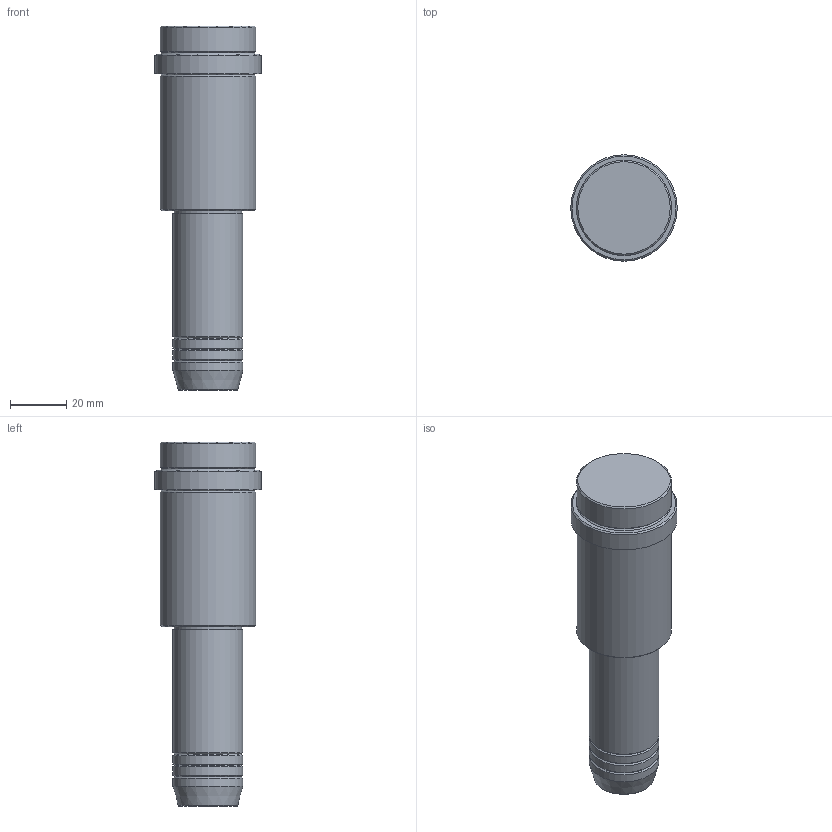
import cadquery as cq
import math

body_diameter = 34.0
collar_diameter = 38.0
pin_diameter = 25.0

total_height = 130.0
collar_top = 120.0
collar_height = 7.0
shoulder_height = 64.0
tip_height = 7.0

tip_angle = 15.0

edge_chamfer = 0.5
tip_chamfer = 0.3
neck_height = 1.0
neck_depth = 0.5
groove_width = 1.0

ring_groove_count = 3
ring_groove_pitch = 4.0
lowest_ring_groove = 10.0

body_radius = body_diameter / 2
collar_radius = collar_diameter / 2
pin_radius = pin_diameter / 2
collar_bottom = collar_top - collar_height
tip_taper = math.tan(math.radians(tip_angle))
groove_depth = groove_width / 2
neck_radius = pin_radius - neck_depth
neck_bottom = shoulder_height - neck_height


def revolve_profile(points):
    """Revolve a closed outline of (radius, height) points about the Z axis."""
    return cq.Workplane("XZ").polyline(points).close().revolve(360, (0, 0, 0), (0, 1, 0))


def cylinder(radius, bottom, top):
    """Round section about the Z axis between two heights."""
    return cq.Workplane("XY").workplane(offset=bottom).circle(radius).extrude(top - bottom)


def make_groove(radius, bottom):
    """V-shaped ring that bites into a cylinder of the given radius, starting at the given height."""
    return revolve_profile([
        (radius, bottom),
        (radius - groove_depth, bottom + groove_width / 2),
        (radius, bottom + groove_width),
    ])


def make_head():
    """Short cylinder above the collar with a chamfered top and a V groove at the collar."""
    head = cylinder(body_radius, collar_top, total_height).faces(">Z").edges().chamfer(edge_chamfer)
    return head.cut(make_groove(body_radius, collar_top))


def make_collar():
    """Locating collar with its upper edge broken."""
    return cylinder(collar_radius, collar_bottom, collar_top).faces(">Z").edges().chamfer(edge_chamfer)


def make_body():
    """Main cylinder with a chamfered shoulder and a V groove under the collar."""
    body = cylinder(body_radius, shoulder_height, collar_bottom).faces("<Z").edges().chamfer(edge_chamfer)
    return body.cut(make_groove(body_radius, collar_bottom - groove_width))


def make_pin():
    """Slim pin with a tapered tip, V grooves and a stepped-in neck under the shoulder."""
    taper_end_radius = pin_radius - (tip_height - tip_chamfer) * tip_taper
    pin = revolve_profile([
        (0, 0),
        (taper_end_radius - tip_chamfer, 0),
        (taper_end_radius, tip_chamfer),
        (pin_radius, tip_height),
        (pin_radius, neck_bottom),
        (neck_radius, neck_bottom),
        (neck_radius, shoulder_height),
        (0, shoulder_height),
    ])
    for index in range(ring_groove_count):
        pin = pin.cut(make_groove(pin_radius, lowest_ring_groove + index * ring_groove_pitch))
    return pin


result = make_pin().union(make_body()).union(make_collar()).union(make_head())